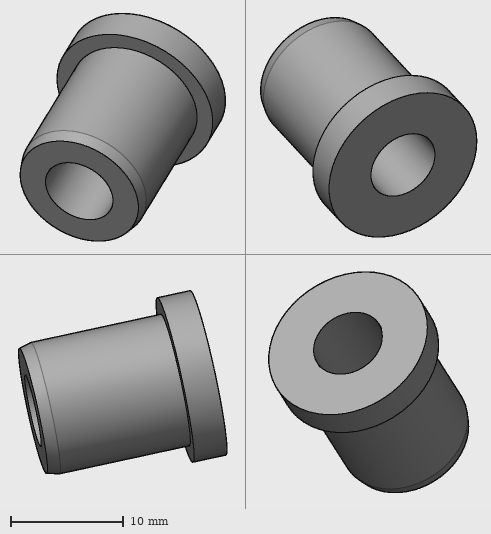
import cadquery as cq
import math

total_length = 16.0
flange_diameter = 15.0
flange_thickness = 3.0
body_diameter = 12.0
bore_diameter = 6.5

taper_length = 1.12
taper_angle = 15.0

flange_radius = flange_diameter / 2
body_radius = body_diameter / 2
bore_radius = bore_diameter / 2
tip_radius = body_radius - taper_length * math.tan(math.radians(taper_angle))
shoulder_y = total_length - flange_thickness

half_section = (
    cq.Workplane("XY")
    .moveTo(-bore_radius, 0)
    .lineTo(-tip_radius, 0)
    .lineTo(-body_radius, taper_length)
    .lineTo(-body_radius, shoulder_y)
    .lineTo(-flange_radius, shoulder_y)
    .lineTo(-flange_radius, total_length)
    .lineTo(-bore_radius, total_length)
    .close()
)

result = half_section.revolve(360, (0, 0, 0), (0, 1, 0))